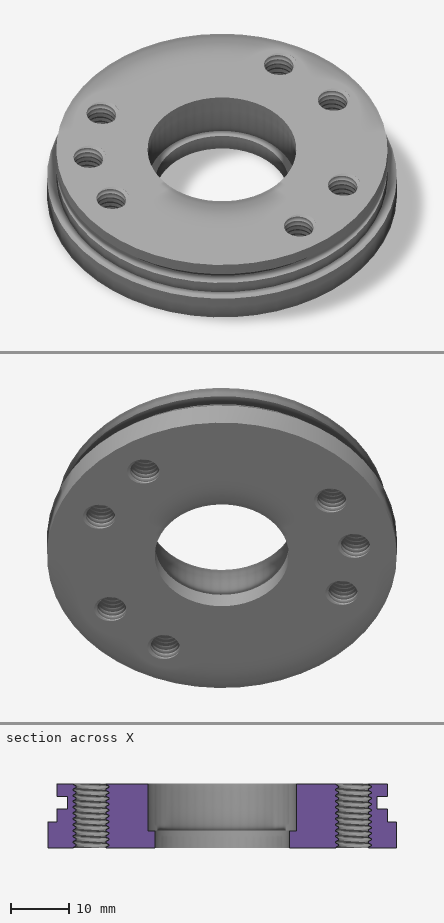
import cadquery as cq
import math

height = 11.0
flange_diameter = 60.0
flange_height = 4.5
body_diameter = 56.8

groove_diameter = 53.22
groove_bottom = 6.7
groove_top = 8.8

bore_diameter = 23.0
counterbore_diameter = 25.5
ledge_height = 3.0

bolt_circles = [
    (22.5, [34.5, 90.0, 214.5, 270.0]),
    (23.0, [2.5, 122.5, 242.5]),
]

thread_minor_diameter = 5.04
thread_major_diameter = 6.15
thread_pitch = 1.0
root_flat = 0.1
mouth_width = 0.7
deepest_angle = 90.0
inner_overlap = 0.15
extra_turns = 1


def ring_groove():
    """Ring to be removed from the body's side."""
    return (
        cq.Workplane("XY", origin=(0, 0, groove_bottom))
        .circle(flange_diameter / 2)
        .circle(groove_diameter / 2)
        .extrude(groove_top - groove_bottom)
    )


def disc():
    """Flange and body with the ring groove and the stepped bore."""
    flange = cq.Workplane("XY").circle(flange_diameter / 2).extrude(flange_height)
    body = cq.Workplane("XY").circle(body_diameter / 2).extrude(height)
    bore = cq.Workplane("XY").circle(bore_diameter / 2).extrude(height)
    counterbore = (
        cq.Workplane("XY", origin=(0, 0, ledge_height))
        .circle(counterbore_diameter / 2)
        .extrude(height - ledge_height)
    )
    return body.cut(ring_groove()).union(flange).cut(bore).cut(counterbore)


def thread_groove():
    """Helical groove about the Z axis, running past both faces of the disc."""
    minor_radius = thread_minor_diameter / 2
    major_radius = thread_major_diameter / 2
    inner_radius = minor_radius - inner_overlap
    flank_slope = (mouth_width - root_flat) / 2 / (major_radius - minor_radius)
    inner_half_width = mouth_width / 2 + inner_overlap * flank_slope
    start = -extra_turns * thread_pitch
    length = height + 2 * extra_turns * thread_pitch
    helix = cq.Wire.makeHelix(thread_pitch, length, minor_radius)
    profile = (
        cq.Workplane("XZ")
        .moveTo(inner_radius, -inner_half_width)
        .lineTo(major_radius, -root_flat / 2)
        .lineTo(major_radius, root_flat / 2)
        .lineTo(inner_radius, inner_half_width)
        .close()
    )
    groove = profile.sweep(cq.Workplane(helix), isFrenet=True)
    return groove.translate((0, 0, start)).rotate((0, 0, 0), (0, 0, 1), deepest_angle)


def hole_centres():
    """Centres of all threaded holes."""
    return [
        (radius * math.cos(math.radians(angle)), radius * math.sin(math.radians(angle)))
        for radius, angles in bolt_circles
        for angle in angles
    ]


def cut_threaded_holes(part):
    """Drill every hole through the disc and cut its thread."""
    minor_radius = thread_minor_diameter / 2
    drills = cq.Workplane("XY").pushPoints(hole_centres()).circle(minor_radius).extrude(height)
    part = part.cut(drills)
    groove = thread_groove()
    for x, y in hole_centres():
        part = part.cut(groove.translate((x, y, 0)))
    return part


result = cut_threaded_holes(disc())